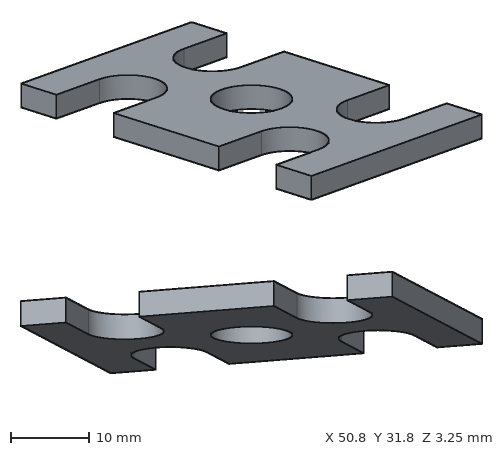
import cadquery as cq

length = 50.8
width = 31.75
thickness = 3.25

hole_diameter = 10.4

slot_width = 10.0
slot_offset = 14.2
left_slot_depth = 13.0
right_slot_depth = 12.85


def edge_slot(x, depth, side):
    """Cutter for a slot entering from the long edge on the given Y side (+1 or -1)."""
    radius = slot_width / 2
    edge_y = side * width / 2
    center_y = edge_y - side * (depth - radius)
    tip_y = edge_y - side * depth
    return (
        cq.Workplane("XY")
        .moveTo(x - radius, edge_y)
        .lineTo(x - radius, center_y)
        .threePointArc((x, tip_y), (x + radius, center_y))
        .lineTo(x + radius, edge_y)
        .close()
        .extrude(thickness)
    )


plate = cq.Workplane("XY").rect(length, width).extrude(thickness)
result = plate.faces(">Z").workplane().hole(hole_diameter)

for side in (-1, 1):
    result = result.cut(edge_slot(-slot_offset, left_slot_depth, side))
    result = result.cut(edge_slot(slot_offset, right_slot_depth, side))